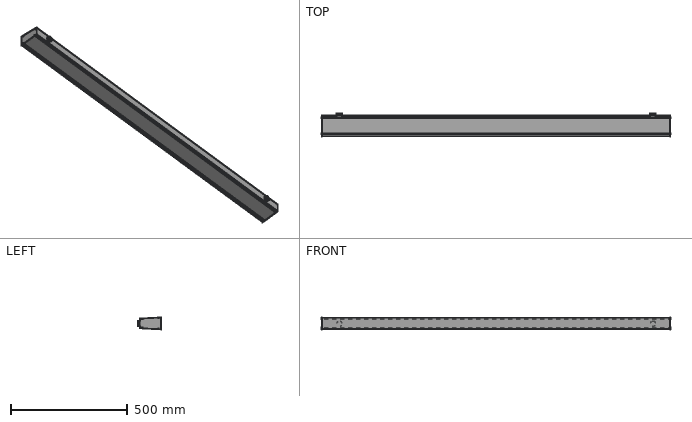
import cadquery as cq

total_length = 1500.0
total_depth = 100.0
front_height = 52.0
side_drop = 5.0
plate_thickness = 0.8

rod_size = 3.0
rod_projection = 2.0
back_rod_setback = 10.0
front_rod_setback = 12.0

front_inset = 2.0
side_inset = 1.2

knob_height = 9.0
knob_head_height = 5.0
knob_head_radius = 12.0
knob_stem_radius = 10.0
knob_spacing = 1347.0

front_y = -total_depth / 2
back_y = total_depth / 2 - knob_height
rod_depths = (back_y - back_rod_setback, front_y + front_rod_setback)
plate_outer_x = total_length / 2 - rod_projection
plate_inner_x = plate_outer_x - plate_thickness
taper = side_drop / (back_y - front_y)


def plate_half_height(y):
    """Half height of the plate outline at depth y."""
    return front_height / 2 - taper * (y - front_y)


def profile_half_height(y):
    """Half height of the profile at depth y."""
    return plate_half_height(y) - side_inset


def tapered_bar(near_y, half_height, start_x, end_x):
    """Bar along X, from near_y to the back, with a symmetric tapered section."""
    near_z = half_height(near_y)
    far_z = half_height(back_y)
    outline = [(near_y, near_z), (back_y, far_z), (back_y, -far_z), (near_y, -near_z)]
    section = cq.Workplane("YZ", origin=(start_x, 0, 0)).polyline(outline).close()
    return section.extrude(end_x - start_x)


def rod_center_z(y):
    """Height of a rod whose outer face meets the sloping face along the rod's rear edge."""
    return profile_half_height(y + rod_size / 2) - rod_size / 2


def tie_rod(y, side):
    """Full-length rod; side is 1 for the upper face and -1 for the lower one."""
    rod = cq.Workplane("XY").box(total_length, rod_size, rod_size)
    return rod.translate((0, y, side * rod_center_z(y)))


def rod_groove(y, side):
    """Slot for one tie rod, open through the sloping face."""
    slot_depth = 2 * rod_size
    slot_center_z = rod_center_z(y) + (slot_depth - rod_size) / 2
    slot = cq.Workplane("XY").box(total_length, rod_size, slot_depth)
    return slot.translate((0, y, side * slot_center_z))


def knob(x):
    """Round knob with a wider head, standing on the back face."""
    stem = cq.Workplane("XZ", origin=(x, back_y, 0)).circle(knob_stem_radius).extrude(-knob_height)
    head_y = back_y + knob_height - knob_head_height
    head = cq.Workplane("XZ", origin=(x, head_y, 0)).circle(knob_head_radius).extrude(-knob_head_height)
    return stem.union(head)


def make_profile():
    """Long tapered profile with four rod grooves and two knobs."""
    body = tapered_bar(front_y + front_inset, profile_half_height, -plate_inner_x, plate_inner_x)
    for y in rod_depths:
        for side in (1, -1):
            body = body.cut(rod_groove(y, side))
    for x in (-knob_spacing / 2, knob_spacing / 2):
        body = body.union(knob(x))
    return body


def make_end_frame():
    """Both end plates, joined into one body by the tie rods."""
    frame = tapered_bar(front_y, plate_half_height, -plate_outer_x, -plate_inner_x)
    frame = frame.union(tapered_bar(front_y, plate_half_height, plate_inner_x, plate_outer_x))
    for y in rod_depths:
        for side in (1, -1):
            frame = frame.union(tie_rod(y, side))
    return frame


profile = make_profile()
end_frame = make_end_frame()
result = cq.Compound.makeCompound([profile.solids().val(), end_frame.solids().val()])